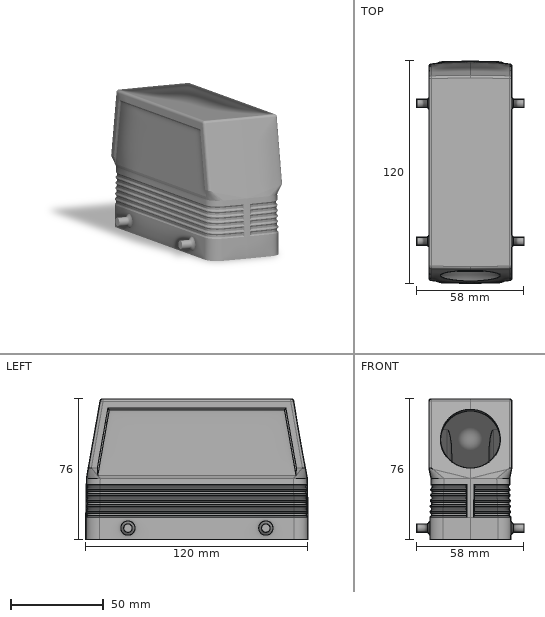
import cadquery as cq
import math

base_half_x = 21.8
base_half_y = 60.0
collar_half_x = 21.2
collar_half_y = 59.6
plan_corner = 7.2
end_bow = 0.5

base_top = 12.0
grip_top = 30.0
collar_top = 33.0
flare_top = 38.8
hood_top = 76.0

hood_half_x = 22.5
end_angle = math.radians(10)
end_slope = math.tan(end_angle)
hood_bow = 0.2
hood_round = 1.5

groove_count = 6
groove_depth = 0.7
groove_pitch = (grip_top - base_top) / groove_count
ridge_width = 0.4
groove_floor = 1.1
groove_overshoot = 0.1
web_half_outer = 1.7
web_half_floor = 2.4

panel_half_x = 21.6
panel_top = 70.9
panel_end_gap = 4.9
panel_wall_run = 1.0

pin_y = 37.2
pin_z = 6.2
pin_radius = 2.3
pin_tip_x = 28.98
cone_tip_x = 23.2
cone_radius = 3.8

wall_half_x = 16.2
mouth_half_x = 17.2
mouth_top = 40.8
slope_start_z = 37.2
end_wall = 5.3
roof_wall = 3.6
column_half_gap = 10.0
column_round = 2.6
column_top = 59.4

entry_radius = 16.1
entry_z = 54.5
recess_radius = 19.8
recess_depth = 15.6

overlap = 1.2


def hood_half_y(z):
    """Half length of the sloping hood at height z."""
    return collar_half_y - end_slope * (z - collar_top)


def bowed_outline(half_x, half_y, bow, z, corner=0.0):
    """Closed outline at height z with slightly pointed ends and optional round corners."""
    side_y = half_y - bow
    points = [
        (half_x, side_y), (0, half_y), (-half_x, side_y),
        (-half_x, -side_y), (0, -half_y), (half_x, -side_y),
    ]
    outline = cq.Wire.makePolygon([cq.Vector(x, y, z) for x, y in points], close=True)
    if corner:
        corners = [v for v in outline.Vertices() if abs(v.X) > half_x / 2]
        outline = outline.fillet2D(corner, corners)
    return outline


def ruled_solid(*outlines):
    return cq.Workplane(cq.Solid.makeLoft(list(outlines), True))


def block(half_x, half_y, z_low, z_high):
    height = z_high - z_low
    return cq.Workplane().box(2 * half_x, 2 * half_y, height, (True, True, False)).translate((0, 0, z_low))


def skirt_outline(z, inset=0.0):
    """Skirt plan at height z: upright up to the base top, then tapering to the collar."""
    taper = max(0.0, (z - base_top) / (collar_top - base_top))
    half_x = base_half_x + taper * (collar_half_x - base_half_x)
    half_y = base_half_y + taper * (collar_half_y - base_half_y)
    return bowed_outline(half_x - inset, half_y - inset, end_bow, z, plan_corner - inset)


def make_skirt():
    base = ruled_solid(skirt_outline(0), skirt_outline(base_top))
    grip = ruled_solid(skirt_outline(base_top), skirt_outline(collar_top))
    return base.union(grip)


def end_webs():
    """Bars of trapezoid plan that interrupt the grooves at the middle of both ends."""
    floor_y = collar_half_y - groove_depth
    outer_y = base_half_y
    web = (
        cq.Workplane(origin=(0, 0, base_top))
        .polyline([
            (-web_half_floor, floor_y - overlap), (-web_half_floor, floor_y), (-web_half_outer, outer_y),
            (web_half_outer, outer_y), (web_half_floor, floor_y), (web_half_floor, floor_y - overlap),
        ])
        .close()
        .extrude(grip_top - base_top)
    )
    return web.union(web.mirror("XZ"))


def groove_cutter(index):
    """Ring with a flat floor and sloping flanks."""
    middle = base_top + (index + 0.5) * groove_pitch
    half_floor = groove_floor / 2
    half_mouth = (groove_pitch - ridge_width) / 2
    half_ring = half_mouth + groove_overshoot * (half_mouth - half_floor) / groove_depth
    levels = [
        (middle - half_ring, -groove_overshoot), (middle - half_floor, groove_depth),
        (middle + half_floor, groove_depth), (middle + half_ring, -groove_overshoot),
    ]
    outlines = [skirt_outline(z, inset) for z, inset in levels]
    ring = block(base_half_x + overlap, base_half_y + overlap, levels[0][0], levels[-1][0])
    for low, high in zip(outlines, outlines[1:]):
        ring = ring.cut(ruled_solid(low, high))
    return ring


def make_hood():
    envelope = ruled_solid(
        bowed_outline(hood_half_x, hood_half_y(collar_top), hood_bow, collar_top),
        bowed_outline(hood_half_x, hood_half_y(hood_top), hood_bow, hood_top),
    )
    rounded_edges = cq.selectors.BoxSelector(
        (-hood_half_x - overlap, -base_half_y, collar_top + overlap),
        (hood_half_x + overlap, base_half_y, hood_top + overlap),
    )
    envelope = (
        envelope.edges(rounded_edges)
        .filter(lambda edge: abs(edge.Center().x) > overlap or edge.Center().z > hood_top - overlap)
        .fillet(hood_round)
    )

    bow_gain = (end_bow - hood_bow) * hood_half_x / collar_half_x
    flare_half_y = hood_half_y(flare_top) + bow_gain
    flare = ruled_solid(
        skirt_outline(collar_top),
        bowed_outline(hood_half_x, flare_half_y, end_bow, flare_top, hood_round),
    )
    above = block(hood_half_x + overlap, base_half_y, flare_top, hood_top)
    return envelope.intersect(flare.union(above))


def panel_cutter():
    """Shallow recess with sloping walls, for the +X side."""
    def outline(x, inset):
        def half(z):
            return hood_half_y(z) - panel_end_gap - inset
        low, high = collar_top - overlap, panel_top - inset
        corners = [(-half(low), low), (half(low), low), (half(high), high), (-half(high), high)]
        return cq.Wire.makePolygon([cq.Vector(x, y, z) for y, z in corners], close=True)

    return ruled_solid(outline(panel_half_x, panel_wall_run), outline(hood_half_x, 0.0))


def make_pin(y):
    """Pin with a conical root, on the +X side."""
    root_x = base_half_x - overlap
    root_radius = cone_radius + overlap * (cone_radius - pin_radius) / (cone_tip_x - base_half_x)
    profile = [
        (0, root_x), (root_radius, root_x), (pin_radius, cone_tip_x), (pin_radius, pin_tip_x), (0, pin_tip_x),
    ]
    pin = cq.Workplane("XY").polyline(profile).close().revolve(360, (0, 0), (0, 1))
    return pin.rotate((0, 0, 0), (0, 0, 1), -90).translate((0, y, pin_z))


def corner_column():
    """Upright column in the +X, +Y corner of the cavity, with a rounded inner edge."""
    front_y = hood_half_y(column_top) - end_wall
    width = mouth_half_x + overlap - column_half_gap
    length = hood_half_y(mouth_top) - front_y
    return (
        cq.Workplane(origin=(column_half_gap, front_y, mouth_top))
        .box(width, length, hood_top - mouth_top, centered=False)
        .edges("|Z and <X and <Y")
        .fillet(column_round)
    )


def make_cavity():
    roof = hood_top - roof_wall
    low_y = hood_half_y(slope_start_z) - end_wall
    high_y = hood_half_y(roof) - end_wall
    end_profile = [
        (-low_y, 0), (low_y, 0), (low_y, slope_start_z), (high_y, roof), (-high_y, roof), (-low_y, slope_start_z),
    ]
    sloping_ends = cq.Workplane("YZ").polyline(end_profile).close().extrude(mouth_half_x, both=True)
    hollow = block(wall_half_x, low_y, 0, roof).union(block(mouth_half_x, low_y, 0, mouth_top))
    cavity = hollow.intersect(sloping_ends)
    column = corner_column()
    pair = column.union(column.mirror("YZ"))
    return cavity.cut(pair).cut(pair.mirror("XZ"))


def entry_cutter():
    inward = cq.Vector(0, 1, -end_slope).normalized()
    face_centre = cq.Vector(0, -hood_half_y(entry_z), entry_z)
    wall_depth = end_wall * math.cos(end_angle)
    hole = cq.Solid.makeCylinder(
        entry_radius, wall_depth + 2 * overlap, face_centre - inward * overlap, inward
    )
    recess = cq.Solid.makeCylinder(
        recess_radius, recess_depth - wall_depth, face_centre + inward * wall_depth, inward
    )
    return cq.Workplane(hole).union(cq.Workplane(recess))


skirt = make_skirt()
webs = end_webs()
for index in range(groove_count):
    skirt = skirt.cut(groove_cutter(index).cut(webs))

body = skirt.union(make_hood())
panel = panel_cutter()
body = body.cut(panel).cut(panel.mirror("YZ"))
for y in (-pin_y, pin_y):
    pin = make_pin(y)
    body = body.union(pin).union(pin.mirror("YZ"))

result = body.cut(make_cavity()).cut(entry_cutter())